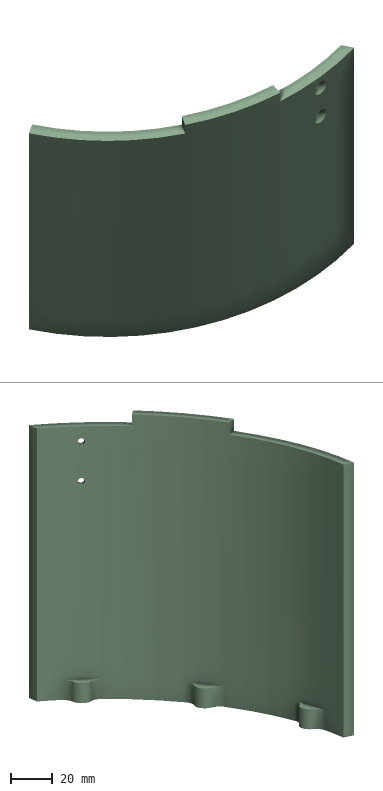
import cadquery as cq
import math

outer_radius = 145.0
wall_thickness = 6.0
inner_radius = outer_radius - wall_thickness
total_height = 144.0
tab_height = 6.0
wall_height = total_height - tab_height
wall_depth = 95.0
end_y = wall_depth - outer_radius

tab_start_angle = 30.0
tab_end_angle = 50.0

bump_angles = (10.0, 35.0, 60.0)
bump_height = 10.1
bump_radius = 5.0
bump_inset = 1.0
blend_radius = 6.0

hole_angle = 60.0
hole_diameter = 3.5
countersink_diameter = 8.0
countersink_angle = 90.0
top_hole_drop = 7.9
hole_spacing = 20.0


def polar(radius, angle):
    """Point at a radius and an angle (degrees) around the wall axis."""
    a = math.radians(angle)
    return (radius * math.sin(a), -radius * math.cos(a))


def toward(start, end, distance):
    """Point at a distance from start on the line to end."""
    ratio = distance / math.dist(start, end)
    return tuple(s + (e - s) * ratio for s, e in zip(start, end))


def arc_wall(start_angle, end_angle, height):
    """Length of the wall with radial ends."""
    middle = (start_angle + end_angle) / 2
    return (
        cq.Workplane("XY")
        .moveTo(*polar(inner_radius, start_angle))
        .threePointArc(polar(inner_radius, middle), polar(inner_radius, end_angle))
        .lineTo(*polar(outer_radius, end_angle))
        .threePointArc(polar(outer_radius, middle), polar(outer_radius, start_angle))
        .close()
        .extrude(height)
    )


def main_wall():
    """Wall from the -Y direction to a flat end facing +Y."""
    inner_end = (math.sqrt(inner_radius**2 - end_y**2), end_y)
    outer_end = (math.sqrt(outer_radius**2 - end_y**2), end_y)
    middle_angle = math.degrees(math.acos(-end_y / outer_radius)) / 2
    return (
        cq.Workplane("XY")
        .moveTo(*polar(inner_radius, 0))
        .threePointArc(polar(inner_radius, middle_angle), inner_end)
        .lineTo(*outer_end)
        .threePointArc(polar(outer_radius, middle_angle), polar(outer_radius, 0))
        .close()
        .extrude(wall_height)
    )


def bump(angle):
    """Round bump with concave blends tangent to the inner face."""
    center_radius = inner_radius - bump_inset
    blend_center_radius = inner_radius - blend_radius
    center_distance = bump_radius + blend_radius
    cosine = (center_radius**2 + blend_center_radius**2 - center_distance**2) / (
        2 * center_radius * blend_center_radius
    )
    half_angle = math.degrees(math.acos(cosine))

    bump_center = polar(center_radius, angle)
    peak = polar(center_radius - bump_radius, angle)
    wall_middle = polar(inner_radius + wall_thickness / 2, angle)

    def blend_points(foot_angle):
        center = polar(blend_center_radius, foot_angle)
        foot = polar(inner_radius, foot_angle)
        joint = toward(center, bump_center, blend_radius)
        chord_middle = ((foot[0] + joint[0]) / 2, (foot[1] + joint[1]) / 2)
        return foot, toward(center, chord_middle, blend_radius), joint

    first_foot, first_middle, first_joint = blend_points(angle - half_angle)
    last_foot, last_middle, last_joint = blend_points(angle + half_angle)
    return (
        cq.Workplane("XY")
        .moveTo(*first_foot)
        .threePointArc(first_middle, first_joint)
        .threePointArc(peak, last_joint)
        .threePointArc(last_middle, last_foot)
        .lineTo(*wall_middle)
        .close()
        .extrude(bump_height)
    )


def screw_hole(z):
    """Radial cutter for a hole countersunk from the outer face."""
    x, y = polar(outer_radius, hole_angle)
    inward = cq.Vector(-x, -y, 0)
    start = cq.Vector(x, y, z)
    cone_depth = (countersink_diameter - hole_diameter) / 2 / math.tan(math.radians(countersink_angle / 2))
    bore = cq.Solid.makeCylinder(hole_diameter / 2, 2 * wall_thickness, start, inward)
    cone = cq.Solid.makeCone(countersink_diameter / 2, hole_diameter / 2, cone_depth, start, inward)
    return cq.Workplane(obj=bore.fuse(cone))


result = main_wall().union(arc_wall(tab_start_angle, tab_end_angle, total_height))
for bump_angle in bump_angles:
    result = result.union(bump(bump_angle))
for hole_index in range(2):
    result = result.cut(screw_hole(wall_height - top_hole_drop - hole_index * hole_spacing))